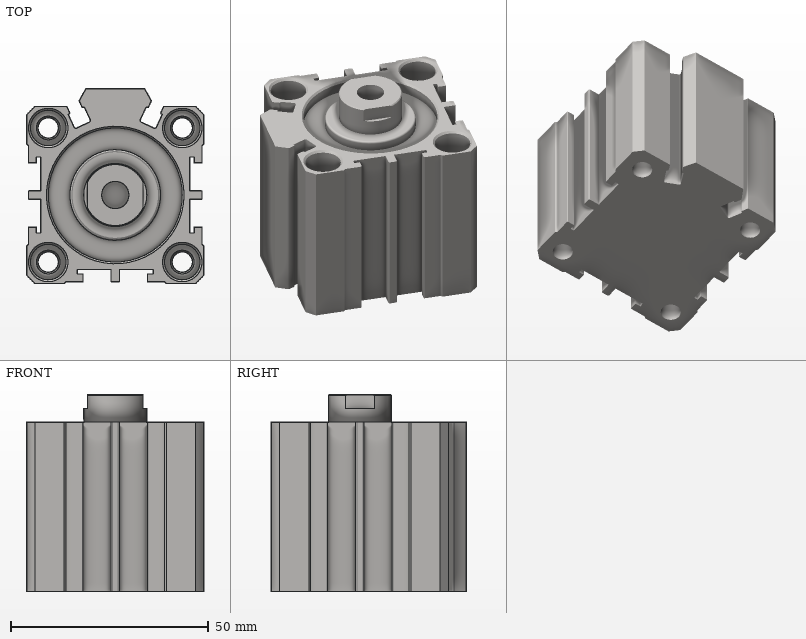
import cadquery as cq
import math

TOTAL_HEIGHT = 50.0
HOUSING_HEIGHT = 43.0
HOUSING_WIDTH = 45.0
HALF_WIDTH = HOUSING_WIDTH / 2
TOTAL_DEPTH = 49.5
CORNER_CHAMFER = 2.15

RAIL_TOP = TOTAL_DEPTH - HALF_WIDTH
RAIL_HALF_WIDTH = 7.45
RAIL_FLANK_ANGLE = 29.0
RAIL_TIP_RADIUS = 0.35
RAIL_TIP_CLEARANCE = 0.5
rail_rise = RAIL_TOP - HALF_WIDTH
rail_root_half_width = RAIL_HALF_WIDTH + rail_rise * math.tan(math.radians(RAIL_FLANK_ANGLE))

SENSOR_TILT = 25.0
SENSOR_FLOOR_X = 8.2
SENSOR_FLOOR_Y = 17.75
SENSOR_WIDTH = 4.45
SENSOR_UNDERCUT = 4.0
SENSOR_MOUTH_WIDTH = 3.4
SENSOR_REACH = 10.0
SENSOR_CORNER_RADIUS = 0.45
SENSOR_LIP_RADIUS = 0.3

GROOVE_FLOOR = 18.95
GROOVE_MOUTH_HALF = 8.15
GROOVE_UNDERCUT_HALF = 9.6
LIP_INNER = 20.0
RELIEF_FACE = 22.05
RELIEF_HALF = 12.5
RIB_HALF_WIDTH = 1.1
RIB_EDGE_RADIUS = 0.35
LIP_EDGE_RADIUS = 0.2
relief_depth = HALF_WIDTH - RELIEF_FACE

MOUNT_OFFSET = 17.0
MOUNT_RADIUS = 2.55
MOUNT_CHAMFER = 0.45
COUNTERBORE_RADIUS = 4.5
COUNTERBORE_CHAMFER = 0.5
COUNTERBORE_DEPTH = 7.0

RECESS_RADIUS = 17.0
RECESS_DEPTH = 3.0
RECESS_CHAMFER = 0.45
COLLAR_RADIUS = 11.5
COLLAR_HEIGHT = 2.5
COLLAR_EDGE_RADIUS = 0.5
recess_floor = HOUSING_HEIGHT - RECESS_DEPTH
collar_top = recess_floor + COLLAR_HEIGHT

ROD_RADIUS = 8.0
ROD_CHAMFER = 0.25
FLAT_HALF_WIDTH = 7.1
FLAT_LENGTH = 3.5
SOCKET_RADIUS = 3.45
SOCKET_DEPTH = 6.0
rod_length = TOTAL_HEIGHT - collar_top


def cylinder(radius, bottom, height):
    """Upright cylinder on the Z axis."""
    return cq.Workplane("XY").workplane(offset=bottom).circle(radius).extrude(height)


def chamfered_hole(radius, chamfer, top, depth):
    """Cutter for a round hole that opens at `top` with a 45 degree chamfer."""
    outline = [
        (0, top),
        (radius + chamfer, top),
        (radius, top - chamfer),
        (radius, top - depth),
        (0, top - depth),
    ]
    return cq.Workplane("XZ").polyline(outline).close().revolve(360, (0, 0, 0), (0, 1, 0))


def make_blank():
    """Square block with bevelled corners and the sensor rail on its +Y side."""
    bevel_start = HALF_WIDTH - CORNER_CHAMFER
    right_side = [
        (bevel_start, -HALF_WIDTH),
        (HALF_WIDTH, -bevel_start),
        (HALF_WIDTH, bevel_start),
        (bevel_start, HALF_WIDTH),
        (rail_root_half_width, HALF_WIDTH),
        (RAIL_HALF_WIDTH, RAIL_TOP),
    ]
    left_side = [(-x, y) for x, y in reversed(right_side)]
    return cq.Workplane("XY").polyline(right_side + left_side).close().extrude(HOUSING_HEIGHT)


def make_sensor_slot():
    """Cutter for the +X sensor slot: a T-slot leaning away from the rail."""
    undercut = cq.Workplane("XY").rect(SENSOR_WIDTH, SENSOR_UNDERCUT).extrude(HOUSING_HEIGHT)
    undercut = undercut.translate((0, SENSOR_UNDERCUT / 2, 0))
    mouth = cq.Workplane("XY").rect(SENSOR_MOUTH_WIDTH, SENSOR_REACH).extrude(HOUSING_HEIGHT)
    mouth = mouth.translate((0, SENSOR_REACH / 2, 0))
    slot = undercut.union(mouth).edges("|Z and <Y").fillet(SENSOR_CORNER_RADIUS)
    for side in (-1, 1):
        lip_point = (side * SENSOR_MOUTH_WIDTH / 2, SENSOR_UNDERCUT, HOUSING_HEIGHT / 2)
        lip_edge = cq.selectors.NearestToPointSelector(lip_point)
        slot = slot.edges(lip_edge).fillet(SENSOR_LIP_RADIUS)
    slot = slot.rotate((0, 0, 0), (0, 0, 1), -SENSOR_TILT)
    return slot.translate((SENSOR_FLOOR_X, SENSOR_FLOOR_Y, 0))


def make_side_groove():
    """Cutter for the -Y side: shallow relief and two undercut grooves beside a rib."""
    outer_half = RELIEF_HALF + relief_depth
    relief = [
        (-outer_half, -HALF_WIDTH),
        (-RELIEF_HALF, -RELIEF_FACE),
        (RELIEF_HALF, -RELIEF_FACE),
        (outer_half, -HALF_WIDTH),
    ]
    cutter = cq.Workplane("XY").polyline(relief).close().extrude(HOUSING_HEIGHT)
    half_groove = [
        (RIB_HALF_WIDTH, -RELIEF_FACE),
        (RIB_HALF_WIDTH, -GROOVE_FLOOR),
        (GROOVE_UNDERCUT_HALF, -GROOVE_FLOOR),
        (GROOVE_UNDERCUT_HALF, -LIP_INNER),
        (GROOVE_MOUTH_HALF, -LIP_INNER),
        (GROOVE_MOUTH_HALF, -RELIEF_FACE),
    ]
    groove = cq.Workplane("XY").polyline(half_groove).close().extrude(HOUSING_HEIGHT)
    cutter = cutter.union(groove).union(groove.mirror("YZ"))
    edges = ((RIB_HALF_WIDTH, RIB_EDGE_RADIUS), (GROOVE_MOUTH_HALF, LIP_EDGE_RADIUS))
    for x, radius in edges:
        for side in (-1, 1):
            edge_point = (side * x, -RELIEF_FACE, HOUSING_HEIGHT / 2)
            corner = cq.selectors.NearestToPointSelector(edge_point)
            cutter = cutter.edges(corner).fillet(radius)
    return cutter


def make_mount_hole():
    """Cutter for one counterbored through hole."""
    counterbore = chamfered_hole(
        COUNTERBORE_RADIUS, COUNTERBORE_CHAMFER, HOUSING_HEIGHT, COUNTERBORE_DEPTH
    )
    seat = HOUSING_HEIGHT - COUNTERBORE_DEPTH
    return counterbore.union(chamfered_hole(MOUNT_RADIUS, MOUNT_CHAMFER, seat, seat))


def make_housing():
    """Extruded cylinder housing with the recessed collar on its top."""
    body = make_blank()

    sensor_slot = make_sensor_slot()
    body = body.cut(sensor_slot).cut(sensor_slot.mirror("YZ"))
    upright_tips = cq.selectors.BoxSelector(
        (-rail_root_half_width, HALF_WIDTH + RAIL_TIP_CLEARANCE, HOUSING_HEIGHT / 4),
        (rail_root_half_width, RAIL_TOP - RAIL_TIP_CLEARANCE, HOUSING_HEIGHT * 3 / 4),
    )
    body = body.edges(upright_tips).fillet(RAIL_TIP_RADIUS)

    side_groove = make_side_groove()
    for angle in (-90, 0, 90):
        body = body.cut(side_groove.rotate((0, 0, 0), (0, 0, 1), angle))

    mount_hole = make_mount_hole()
    for x in (-MOUNT_OFFSET, MOUNT_OFFSET):
        for y in (-MOUNT_OFFSET, MOUNT_OFFSET):
            body = body.cut(mount_hole.translate((x, y, 0)))

    body = body.cut(chamfered_hole(RECESS_RADIUS, RECESS_CHAMFER, HOUSING_HEIGHT, RECESS_DEPTH))
    collar = cylinder(COLLAR_RADIUS, recess_floor, COLLAR_HEIGHT)
    return body.union(collar.faces(">Z").fillet(COLLAR_EDGE_RADIUS))


def make_rod():
    """Rod end with two wrench flats and a blind socket in its top."""
    rod = cylinder(ROD_RADIUS, collar_top, rod_length).faces(">Z").chamfer(ROD_CHAMFER)
    flat_bottom = TOTAL_HEIGHT - FLAT_LENGTH
    flat_zone = cylinder(ROD_RADIUS, flat_bottom, FLAT_LENGTH)
    between_flats = cq.Workplane("XY").workplane(offset=flat_bottom)
    between_flats = between_flats.rect(2 * FLAT_HALF_WIDTH, 2 * ROD_RADIUS).extrude(FLAT_LENGTH)
    rod = rod.cut(flat_zone.cut(between_flats))
    return rod.cut(cylinder(SOCKET_RADIUS, TOTAL_HEIGHT - SOCKET_DEPTH, SOCKET_DEPTH))


housing = make_housing()
rod = make_rod()

result = cq.Compound.makeCompound([housing.val(), rod.val()])